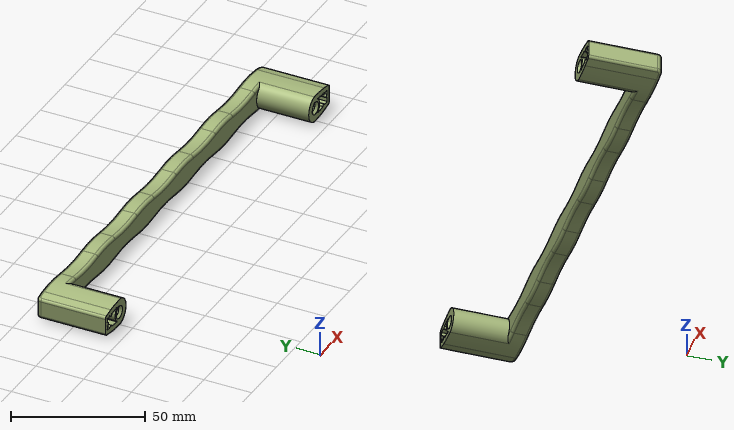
import cadquery as cq
import math

length = 183.0
depth = 29.0
height = 11.0
grip_thickness = 7.1

crest_count = 6
wave_pitch = 32.0
crest_span = 14.0
crest_radius = 48.5
trough_span = wave_pitch - crest_span
half_length = length / 2
half_height = height / 2
joint_slope = math.asin(crest_span / 2 / crest_radius)
crest_sagitta = crest_radius * (1 - math.cos(joint_slope))
trough_radius = trough_span / 2 / math.sin(joint_slope)
trough_sagitta = trough_radius * (1 - math.cos(joint_slope))
joint_z = half_height - crest_sagitta
trough_z = joint_z - trough_sagitta
crest_centres = [(i - (crest_count - 1) / 2) * wave_pitch for i in range(crest_count)]
end_z = 4.0

leg_centre = crest_centres[-1]
nose_length = half_height
nose_shoulder = 1.0

end_corner_radius = 2.0
outer_edge_radius = 1.1
inner_edge_radius = 1.3

hole_diameter = 3.3
countersink_diameter = 5.1
countersink_depth = 1.1
hole_depth = 14.6
drill_point_angle = 118.0

recess_depth = 9.1
recess_wall = 1.8
recess_outer_z = 2.4
recess_inner_z = 3.1
recess_hole_gap = 2.0
hole_wall_radius = 3.5
rib_radius = 0.7
rib_centre_inset = 4.5


def trace_upper_wave(outline):
    """Continue an outline along the upper wave, from the first crest to the last."""
    for i, centre in enumerate(crest_centres):
        crest_start = centre - crest_span / 2
        crest_end = centre + crest_span / 2
        if i > 0:
            trough_centre = centre - wave_pitch / 2
            outline = outline.threePointArc((trough_centre, trough_z), (crest_start, joint_z))
        outline = outline.threePointArc((centre, half_height), (crest_end, joint_z))
    return outline


def make_wave_half():
    """Upper half of the wavy plate, over the full depth of the part."""
    outline = cq.Workplane("XZ").moveTo(-half_length, 0).lineTo(-half_length, end_z)
    outline = outline.lineTo(crest_centres[0] - crest_span / 2, joint_z)
    outline = trace_upper_wave(outline)
    outline = outline.lineTo(half_length, end_z).lineTo(half_length, 0).close()
    return outline.extrude(-depth)


def make_wave_plate():
    upper = make_wave_half()
    return upper.union(upper.mirror("XY"))


def make_grip(plate):
    """Bar between the legs, with its inner long edges rounded."""
    grip_start = depth - grip_thickness
    envelope = cq.Workplane("XY").box(2 * leg_centre, grip_thickness, height)
    grip = plate.intersect(envelope.translate((0, grip_start + grip_thickness / 2, 0)))
    return grip.faces("<Y").edges("not |Z").fillet(inner_edge_radius)


def make_leg(plate, side):
    """Leg with a flat outer end and a rounded inner nose; side is -1 or 1."""
    shoulder_x = side * (leg_centre - nose_shoulder)
    tip_x = side * (leg_centre - nose_length)
    envelope = (
        cq.Workplane("XZ")
        .moveTo(shoulder_x, -half_height)
        .threePointArc((tip_x, 0), (shoulder_x, half_height))
        .lineTo(side * half_length, half_height)
        .lineTo(side * half_length, -half_height)
        .close()
        .extrude(-depth)
    )
    return plate.intersect(envelope)


def make_screw_hole():
    """Cutter for the screw hole of the left leg, along +Y from the mounting face."""
    hole_radius = hole_diameter / 2
    point_depth = hole_radius / math.tan(math.radians(drill_point_angle / 2))
    profile = (
        cq.Workplane("XY")
        .lineTo(countersink_diameter / 2, 0)
        .lineTo(hole_radius, countersink_depth)
        .lineTo(hole_radius, hole_depth)
        .lineTo(0, hole_depth + point_depth)
        .close()
    )
    return profile.revolve(360, (0, 0, 0), (0, 1, 0)).translate((-leg_centre, 0, 0))


def make_recess():
    """Cutter for the ribbed recess of the left leg."""
    outer_x = -half_length + recess_wall
    inner_x = -leg_centre - recess_hole_gap
    rib_x = -half_length + rib_centre_inset
    rib_z = (recess_outer_z + recess_inner_z) / 2
    recess = (
        cq.Workplane("XZ")
        .polyline([
            (outer_x, -recess_outer_z),
            (outer_x, recess_outer_z),
            (inner_x, recess_inner_z),
            (inner_x, -recess_inner_z),
        ])
        .close()
        .extrude(-recess_depth)
    )
    hole_wall = cq.Workplane("XZ").center(-leg_centre, 0).circle(hole_wall_radius)
    ribs = cq.Workplane("XZ").pushPoints([(outer_x, 0), (rib_x, rib_z), (rib_x, -rib_z)])
    recess = recess.cut(hole_wall.extrude(-recess_depth))
    return recess.cut(ribs.circle(rib_radius).extrude(-recess_depth))


plate = make_wave_plate()
handle = make_grip(plate).union(make_leg(plate, -1)).union(make_leg(plate, 1))

handle = handle.faces("<X or >X").edges(">Y").fillet(end_corner_radius)
handle = handle.faces("<X or >X or >Y").edges("not |Z").edges("not <Y").fillet(outer_edge_radius)

left_cutters = make_screw_hole().union(make_recess())
result = handle.cut(left_cutters).cut(left_cutters.mirror("YZ"))